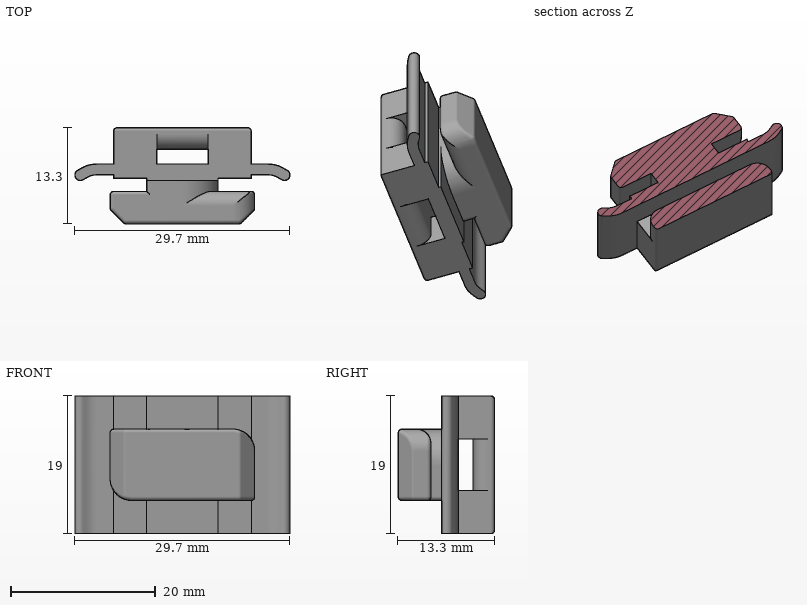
import cadquery as cq
import math

overall_width = 29.7
height = 19.0
block_half_width = 9.5
wing_back = -5.02
wing_thickness = 1.5
pad_front = -7.0
centre_front = -7.3
curl_start = 11.88
curl_inner_radius = 2.5
curl_angle = math.radians(30)
edge_round = 0.5

tunnel_width = 7.07
tunnel_back = -3.0
tunnel_mouth_radius = 2.02

stem_radius = 4.93
head_half_length = 9.98
head_back = -8.8
head_front = -13.3
head_chamfer = 2.0
head_corner_radius = 3.0
lead_in_radius = 2.0


def box(x0, x1, y0, y1, z0, z1):
    """Box between two limits on each axis."""
    size = (x1 - x0, y1 - y0, z1 - z0)
    return cq.Workplane("XY").box(*size, centered=False).translate((x0, y0, z0))


def upright(outline):
    """Extrude a closed XY outline over the full height, centred on Z = 0."""
    return outline.close().extrude(height / 2, both=True)


def make_wing():
    """Right-hand wing: flat, then curled forward to a rounded tip."""
    wing_front = wing_back - wing_thickness
    outer_radius = curl_inner_radius + wing_thickness
    tip_radius = wing_thickness / 2
    curl_y = wing_front - curl_inner_radius
    along = (math.cos(curl_angle), -math.sin(curl_angle))
    outward = (math.sin(curl_angle), math.cos(curl_angle))

    def on_curl(radius, angle):
        return (curl_start + radius * math.sin(angle), curl_y + radius * math.cos(angle))

    middle_end = on_curl(curl_inner_radius + tip_radius, curl_angle)
    tip_x = overall_width / 2 - tip_radius
    tip_y = middle_end[1] + (tip_x - middle_end[0]) * along[1] / along[0]

    def on_tip(direction, sign):
        return (tip_x + sign * tip_radius * direction[0], tip_y + sign * tip_radius * direction[1])

    return upright(
        cq.Workplane("XY")
        .moveTo(0, wing_back)
        .lineTo(curl_start, wing_back)
        .threePointArc(on_curl(outer_radius, curl_angle / 2), on_curl(outer_radius, curl_angle))
        .lineTo(*on_tip(outward, 1))
        .threePointArc(on_tip(along, 1), on_tip(outward, -1))
        .lineTo(*on_curl(curl_inner_radius, curl_angle))
        .threePointArc(on_curl(curl_inner_radius, curl_angle / 2), (curl_start, wing_front))
        .lineTo(0, wing_front)
    )


def make_tunnel():
    """Vertical strap tunnel whose back wall is rounded at both mouths."""
    top = height / 2
    mouth_back = tunnel_back + tunnel_mouth_radius
    throat = top - tunnel_mouth_radius
    half = (
        cq.Workplane("YZ")
        .moveTo(wing_back, 0)
        .lineTo(wing_back, top)
        .lineTo(mouth_back, top)
        .radiusArc((tunnel_back, throat), -tunnel_mouth_radius)
        .lineTo(tunnel_back, 0)
        .close()
        .extrude(tunnel_width / 2, both=True)
    )
    return half.union(half.mirror("XY"))


def make_plate():
    block = box(-block_half_width, block_half_width, pad_front, 0, -height / 2, height / 2)
    block = block.faces(">Y").edges().fillet(edge_round)
    centre = box(-stem_radius, stem_radius, centre_front, wing_back, -height / 2, height / 2)
    wing = make_wing()
    plate = block.union(centre).union(wing).union(wing.mirror("YZ"))
    tunnel = make_tunnel()
    cross_tunnel = tunnel.rotate((0, 0, 0), (0, 1, 0), 90)
    return plate.cut(tunnel).cut(cross_tunnel)


def half_turn(body):
    """Copy of a body turned half way round the knob axis."""
    return body.rotate((0, 0, 0), (0, 1, 0), 180)


def make_stem():
    """Round stem with two opposite quadrants filled out to rounded square corners."""
    stem_front = head_back - lead_in_radius
    stem = cq.Workplane("XZ", origin=(0, wing_back, 0)).circle(stem_radius).extrude(wing_back - stem_front)
    quadrant = box(-stem_radius, 0, stem_front, wing_back, 0, stem_radius)
    quadrant = quadrant.edges("|Y and <X and >Z").fillet(edge_round)
    return stem.union(quadrant).union(half_turn(quadrant))


def make_lead_in():
    """Waste that rounds the upper back edge of the head on its +X half."""
    start_z = stem_radius - lead_in_radius
    return (
        cq.Workplane("YZ")
        .moveTo(head_back, start_z)
        .radiusArc((head_back - lead_in_radius, stem_radius), -lead_in_radius)
        .lineTo(head_back, stem_radius)
        .close()
        .extrude(head_half_length)
    )


def make_head():
    head = box(-head_half_length, head_half_length, head_front, head_back, -stem_radius, stem_radius)
    head = head.edges("|Z and <Y").chamfer(head_chamfer)
    corner = box(
        head_half_length - head_corner_radius, head_half_length,
        head_front, head_back,
        stem_radius - head_corner_radius, stem_radius,
    )
    corner = corner.cut(
        cq.Workplane("XZ", origin=(head_half_length - head_corner_radius, head_back,
                                   stem_radius - head_corner_radius))
        .circle(head_corner_radius)
        .extrude(head_back - head_front)
    )
    head = head.cut(corner).cut(half_turn(corner))
    head = head.edges().fillet(edge_round)
    lead_in = make_lead_in()
    return head.cut(lead_in).cut(half_turn(lead_in))


result = make_plate().union(make_stem()).union(make_head())